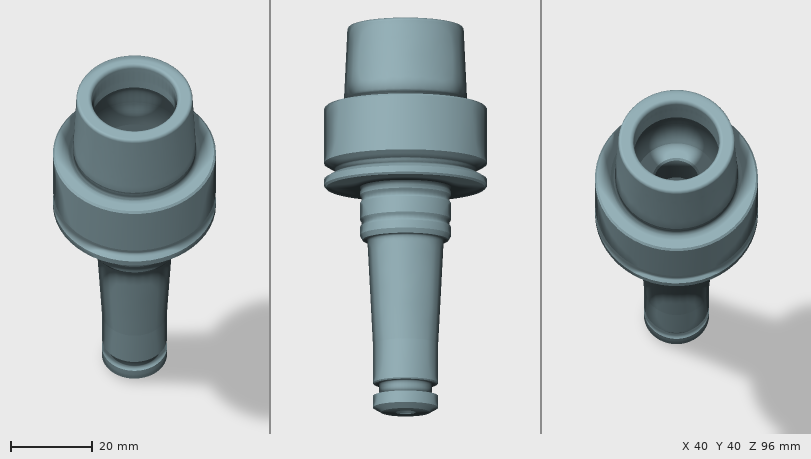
import cadquery as cq
import math


total_height = 96.0
taper_height = 20.0
flange_height = 20.1
flange_top = total_height - taper_height
flange_bottom = flange_top - flange_height
collar_bottom = flange_bottom - 13.1

neck_radius = 30.0 / 2
taper_base_radius = 30.2 / 2
taper_tip_radius = 28.5 / 2
taper_base_z = flange_top + 1.8
neck_ramp_height = 0.6
tip_fillet = 0.8
relief_outer_radius = 32.4 / 2
relief_depth = 0.2
relief_fillet = 0.5

flange_radius = 40.0 / 2
flange_chamfer = 0.5
gripper_floor_radius = 34.8 / 2
gripper_center_z = flange_top - 16.0
gripper_half_width = 2.0
gripper_flank_angle = math.radians(30)
gripper_fillet = 0.2

collar_radius = 22.5 / 2
collar_chamfer_height = 1.2
collar_chamfer_angle = math.radians(30)
ring_groove_width = 2.0
ring_groove_flank_angle = math.radians(35)
ring_groove_floor_radius = 1.1
ring_groove_centers = (flange_bottom - 3.0, flange_bottom - 8.9)
face_groove_width = 1.2
face_groove_depth = 0.2

shank_end_radius = 16.0 / 2
cone_bottom = 17.0
cone_angle = math.radians(3)
root_fillet = 0.4
end_groove_radius = 13.0 / 2
end_groove_top = 7.0
end_groove_bottom = 4.0
groove_edge_chamfer = 0.3
groove_corner_fillet = 0.2
tip_chamfer_width = 2.0
tip_chamfer_angle = math.radians(30)

bore_radius = 21.0 / 2
bore_mouth_fillet = 1.0
clamp_groove_radius = 25.5 / 2
clamp_groove_top = total_height - 8.1
clamp_groove_straight = 8.0
clamp_groove_floor_radius = 20.0 / 2
clamp_groove_arc_radius = 6.0
seat_radius = 10.9 / 2
seat_chamfer = 0.5
seat_depth = 9.6
through_radius = 5.0 / 2


def revolve(profile):
    """Turn a closed (radius, z) profile around the Z axis."""
    return profile.close().revolve(360, (0, 0, 0), (0, 1, 0))


def cylinder(radius, bottom, top):
    return cq.Workplane("XY").workplane(offset=bottom).circle(radius).extrude(top - bottom)


def cone(bottom_radius, top_radius, bottom, top):
    outline = [(0, bottom), (bottom_radius, bottom), (top_radius, top), (0, top)]
    return revolve(cq.Workplane("XZ").polyline(outline))


def taper_shank():
    """Short outer taper on a relieved neck, rounded at its open end."""
    taper = cone(taper_base_radius, taper_tip_radius, taper_base_z, total_height)
    taper = taper.faces(">Z").edges().fillet(tip_fillet)
    ramp_bottom = taper_base_z - neck_ramp_height
    ramp = cone(neck_radius, taper_base_radius, ramp_bottom, taper_base_z)
    neck = cylinder(neck_radius, flange_top - flange_chamfer, ramp_bottom)
    return taper.union(ramp).union(neck)


def face_relief():
    """Shallow ring cut into the flange face, sloping up to its outer rim."""
    floor = flange_top - relief_depth
    outline = [(neck_radius, floor), (neck_radius + relief_fillet, floor), (relief_outer_radius, flange_top)]
    return revolve(cq.Workplane("XZ").polyline(outline + [(neck_radius, flange_top)]))


def concave_fillet(radius, wall_radius, face_z, direction):
    """Ring that rounds the corner between a wall and the face above or below it."""
    profile = (
        cq.Workplane("XZ")
        .moveTo(wall_radius, face_z)
        .lineTo(wall_radius + radius, face_z)
        .radiusArc((wall_radius, face_z + direction * radius), direction * radius)
    )
    return revolve(profile)


def flange():
    """Disc with chamfered rims and a V-shaped gripper groove."""
    disc = cylinder(flange_radius, flange_bottom, flange_top).edges().chamfer(flange_chamfer)
    flank_height = (flange_radius - gripper_floor_radius) * math.tan(gripper_flank_angle)
    floor_half_width = gripper_half_width - flank_height
    groove = revolve(
        cq.Workplane("XZ").polyline(
            [
                (flange_radius, gripper_center_z - gripper_half_width),
                (gripper_floor_radius, gripper_center_z - floor_half_width),
                (gripper_floor_radius, gripper_center_z + floor_half_width),
                (flange_radius, gripper_center_z + gripper_half_width),
            ]
        )
    )
    floor_edges = cq.selectors.RadiusNthSelector(0)
    return disc.cut(groove.edges(floor_edges).fillet(gripper_fillet))


def ring_groove(center_z):
    """Ring cutter with sloping flanks that run smoothly into a round floor."""
    half_width = ring_groove_width / 2
    arc_half_width = ring_groove_floor_radius * math.sin(ring_groove_flank_angle)
    arc_depth = ring_groove_floor_radius * (1 - math.cos(ring_groove_flank_angle))
    arc_start_radius = collar_radius - (half_width - arc_half_width) * math.tan(ring_groove_flank_angle)
    profile = (
        cq.Workplane("XZ")
        .moveTo(collar_radius, center_z - half_width)
        .lineTo(arc_start_radius, center_z - arc_half_width)
        .threePointArc(
            (arc_start_radius - arc_depth, center_z),
            (arc_start_radius, center_z + arc_half_width),
        )
        .lineTo(collar_radius, center_z + half_width)
    )
    return revolve(profile)


def face_groove():
    """Shallow arc-shaped ring cutter in the collar, right against the flange."""
    profile = (
        cq.Workplane("XZ")
        .moveTo(collar_radius, flange_bottom - face_groove_width)
        .threePointArc(
            (collar_radius - face_groove_depth, flange_bottom - face_groove_width / 2),
            (collar_radius, flange_bottom),
        )
    )
    return revolve(profile)


def collar():
    """Grooved seat below the flange, tapered in at its lower edge."""
    lead_in_top = collar_bottom + collar_chamfer_height
    lead_in_radius = collar_radius - collar_chamfer_height * math.tan(collar_chamfer_angle)
    body = cylinder(collar_radius, lead_in_top, flange_bottom)
    body = body.union(cone(lead_in_radius, collar_radius, collar_bottom, lead_in_top))
    for center_z in ring_groove_centers:
        body = body.cut(ring_groove(center_z))
    return body.cut(face_groove())


def lower_shank():
    """Slightly conical shank running into a cylinder with a grooved end."""
    cone_top_radius = shank_end_radius + (collar_bottom - cone_bottom) * math.tan(cone_angle)
    tip_chamfer_height = tip_chamfer_width * math.tan(tip_chamfer_angle)
    tapered = cone(shank_end_radius, cone_top_radius, cone_bottom, collar_bottom)
    straight = cylinder(shank_end_radius, end_groove_top, cone_bottom)
    straight = straight.faces("<Z").edges().chamfer(groove_edge_chamfer)
    groove_core = cylinder(end_groove_radius, end_groove_bottom, end_groove_top)
    tip = cylinder(shank_end_radius, 0, end_groove_bottom)
    tip = tip.faces("<Z").edges().chamfer(tip_chamfer_height, tip_chamfer_width)
    shank = tapered.union(straight).union(groove_core).union(tip)
    shank = shank.union(concave_fillet(root_fillet, cone_top_radius, collar_bottom, -1))
    shank = shank.union(concave_fillet(groove_corner_fillet, end_groove_radius, end_groove_top, -1))
    return shank.union(concave_fillet(groove_corner_fillet, end_groove_radius, end_groove_bottom, 1))


def clamp_groove(floor):
    """Wider stretch of the bore whose wall curves inwards to a sharp-edged floor."""
    arc_start_z = clamp_groove_top - clamp_groove_straight
    profile = (
        cq.Workplane("XZ")
        .moveTo(0, clamp_groove_top)
        .lineTo(clamp_groove_radius, clamp_groove_top)
        .lineTo(clamp_groove_radius, arc_start_z)
        .radiusArc((clamp_groove_floor_radius, floor), clamp_groove_arc_radius)
        .lineTo(0, floor)
    )
    return revolve(profile)


def bore():
    """Stepped cavity: rounded mouth, clamping groove, narrow seat, through hole."""
    arc_inset = clamp_groove_radius - clamp_groove_floor_radius
    arc_drop = math.sqrt(clamp_groove_arc_radius**2 - (clamp_groove_arc_radius - arc_inset) ** 2)
    floor = clamp_groove_top - clamp_groove_straight - arc_drop
    mouth = cylinder(bore_radius, clamp_groove_top, total_height)
    mouth_blend = concave_fillet(bore_mouth_fillet, bore_radius, total_height, -1)
    seat = cylinder(seat_radius, floor - seat_depth, floor)
    countersink = cone(seat_radius, seat_radius + seat_chamfer, floor - seat_chamfer, floor)
    through = cylinder(through_radius, 0, total_height)
    cavity = mouth.union(mouth_blend).union(clamp_groove(floor))
    return cavity.union(seat).union(countersink).union(through)


result = (
    taper_shank()
    .union(flange())
    .cut(face_relief())
    .union(concave_fillet(relief_fillet, neck_radius, flange_top - relief_depth, 1))
    .union(collar())
    .union(lower_shank())
    .cut(bore())
)